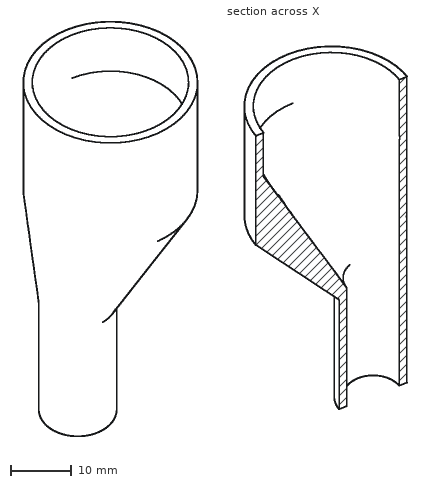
import cadquery as cq

wide_outer_diameter = 29.0
wide_bore_diameter = 26.0
narrow_outer_diameter = 13.0
narrow_bore_diameter = 10.0
tube_length = 25.0
outer_cone_height = 20.0
wide_bore_depth = 10.0
passage_cone_height = 33.0

narrow_center_y = -(wide_outer_diameter - narrow_outer_diameter) / 2
total_height = 2 * tube_length + outer_cone_height
narrow_bore_length = total_height - wide_bore_depth - passage_cone_height


def stepped_body(narrow_diameter, narrow_length, wide_diameter, wide_length, cone_height):
    """Solid narrow cylinder, slanted cone and wide cylinder, stacked upward."""
    cone_top_z = narrow_length + cone_height
    narrow = (
        cq.Workplane("XY")
        .center(0, narrow_center_y)
        .circle(narrow_diameter / 2)
        .extrude(narrow_length)
    )
    cone = (
        cq.Workplane("XY", origin=(0, narrow_center_y, narrow_length))
        .circle(narrow_diameter / 2)
        .workplane(offset=cone_height)
        .center(0, -narrow_center_y)
        .circle(wide_diameter / 2)
        .loft(ruled=True, combine=True)
    )
    wide = (
        cq.Workplane("XY", origin=(0, 0, cone_top_z))
        .circle(wide_diameter / 2)
        .extrude(wide_length)
    )
    return narrow.union(cone).union(wide)


outer_body = stepped_body(
    narrow_outer_diameter, tube_length, wide_outer_diameter, tube_length, outer_cone_height
)
passage = stepped_body(
    narrow_bore_diameter, narrow_bore_length, wide_bore_diameter, wide_bore_depth, passage_cone_height
)

result = outer_body.cut(passage)